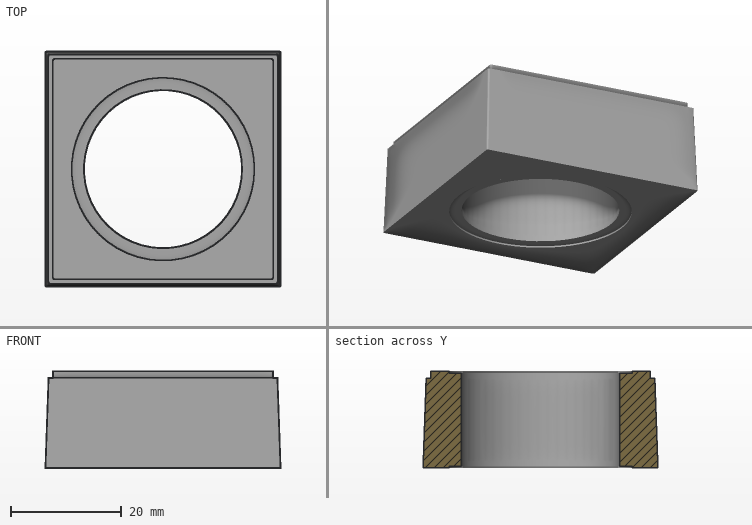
import cadquery as cq
import math

base_side = 42.5
total_height = 17.5
draft_angle = 2.0
body_corner_radius = 0.3

plate_side = 39.8
plate_height = 1.2
plate_corner_radius = 0.4

bore_diameter = 28.5
recess_diameter = 33.0
recess_depth = 0.3

body_height = total_height - plate_height
shoulder_side = base_side - 2 * body_height * math.tan(math.radians(draft_angle))


def make_body():
    """Square block whose four sides lean inward, with rounded corners."""
    block = (
        cq.Workplane("XY")
        .rect(base_side, base_side)
        .workplane(offset=body_height)
        .rect(shoulder_side, shoulder_side)
        .loft(ruled=True)
    )
    sloping_corners = block.edges("not(|X or |Y)")
    return sloping_corners.fillet(body_corner_radius)


def make_plate():
    """Straight-sided square plate sitting on the body."""
    plate = cq.Workplane("XY").rect(plate_side, plate_side).extrude(plate_height)
    rounded_plate = plate.edges("|Z").fillet(plate_corner_radius)
    return rounded_plate.translate((0, 0, body_height))


def cut_opening(part):
    """Through bore with a shallow round recess around each rim."""
    bore = cq.Workplane("XY").circle(bore_diameter / 2).extrude(total_height)
    lower_recess = cq.Workplane("XY").circle(recess_diameter / 2).extrude(recess_depth)
    upper_recess = lower_recess.translate((0, 0, total_height - recess_depth))
    return part.cut(bore).cut(lower_recess).cut(upper_recess)


result = cut_opening(make_body().union(make_plate()))